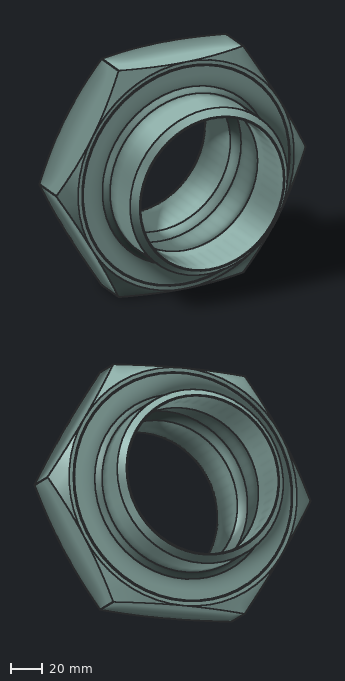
import cadquery as cq
import math

hex_center = -0.4
hex_width = 37.3
across_flats = 157.0
across_corners = 181.1
chamfer_angle = 30

groove_outer_radius = 75.5
groove_inner_radius = 74.8
groove_depth = 0.4

length = 108.0
spigot_radius = 57.2
end_chamfer = 4.5
shoulder_radius = 60.9

bore_radius = 52.0
chamber_radius = 57.0
chamber_half_width = 18.7

half_length = length / 2
hex_half_width = hex_width / 2
flat_radius = across_flats / 2
corner_radius = across_corners / 2
corner_chamfer = (corner_radius - flat_radius) * math.tan(math.radians(chamfer_angle))
shoulder_length = shoulder_radius - spigot_radius
chamber_cone_length = chamber_radius - bore_radius


def turned(outline):
    """Revolve a closed outline of (x, radius) points about the X axis."""
    return cq.Workplane("XY").polyline(outline).close().revolve(360, (0, 0, 0), (1, 0, 0))


def turned_symmetric(half_profile, center=0):
    """Turn a solid from its +X half profile, mirrored about the plane x = center."""
    end = half_profile[-1][0]
    mirrored = [(-x, radius) for x, radius in reversed(half_profile)]
    outline = [(-end, 0)] + mirrored + half_profile + [(end, 0)]
    return turned(outline).translate((center, 0, 0))


def hexagon():
    prism = (
        cq.Workplane("YZ")
        .polygon(6, across_flats, circumscribed=True)
        .extrude(hex_half_width, both=True)
        .rotate((0, 0, 0), (1, 0, 0), 90)
    )
    chamfered_envelope = turned_symmetric([
        (hex_half_width - corner_chamfer, corner_radius),
        (hex_half_width, flat_radius),
    ])
    return prism.intersect(chamfered_envelope).translate((hex_center, 0, 0))


def ring_groove(side):
    face = hex_center + side * hex_half_width
    return turned([
        (face, groove_outer_radius),
        (face - side * groove_depth, groove_outer_radius),
        (face, groove_inner_radius),
    ])


def spigots():
    return turned_symmetric([
        (half_length - end_chamfer, spigot_radius),
        (half_length, spigot_radius - end_chamfer),
    ])


def shoulders():
    return turned_symmetric([
        (hex_half_width, shoulder_radius),
        (hex_half_width + shoulder_length, spigot_radius),
    ], hex_center)


def bore():
    return cq.Workplane("YZ").circle(bore_radius).extrude(half_length, both=True)


def chamber():
    return turned_symmetric([
        (chamber_half_width - chamber_cone_length, chamber_radius),
        (chamber_half_width, bore_radius),
    ], hex_center)


body = hexagon().union(shoulders()).union(spigots())
for side in (-1, 1):
    body = body.cut(ring_groove(side))

result = body.cut(bore()).cut(chamber())